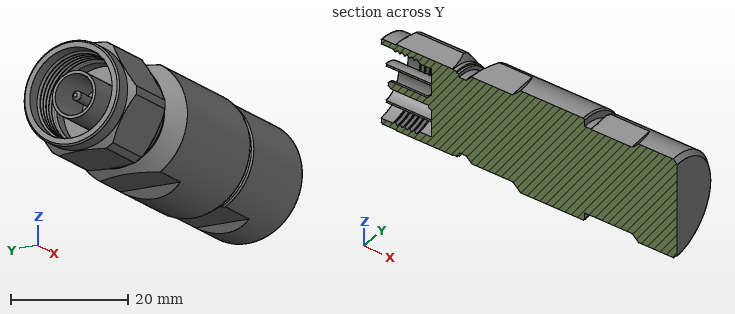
import cadquery as cq
import math


COLLAR_RADIUS = 9.35
COLLAR_END = 3.1
HEX_HALF_WIDTH = 9.5
HEX_CORNER_RADIUS = 10.55
HEX_CHAMFER = 1.0
HEX_END = 14.95
RING_END = 15.8
LIP_RADIUS = 9.05
LIP_END = 16.25

NECK_RADIUS = 8.3
NECK_END = 17.7
BODY_RADIUS = 11.2
CONE_END = 20.45
BODY_END = 42.4
GROOVE_RADIUS = 9.55
GROOVE_END = 43.7
EDGE_CHAMFER = 0.3
CLAMP_RADIUS = 10.85
CLAMP_CHAMFER = 0.85
LENGTH = 61.6

BODY_FLAT_HEIGHT = 9.55
BODY_FLAT_END = 27.35
CLAMP_FLAT_HEIGHT = 9.5
CLAMP_FLAT_END = 52.2

MOUTH_RADIUS = 8.1
MOUTH_DEPTH = 2.45
THREAD_CREST_RADIUS = 7.7
THREAD_ROOT_RADIUS = 8.2
THREAD_PITCH = 1.0
THREAD_CREST_WIDTH = 0.2
THREAD_COUNT = 5
BORE_RADIUS = 7.4
SOCKET_DEPTH = 10.5
SLEEVE_OUTER_RADIUS = 4.25
SLEEVE_INNER_RADIUS = 3.7
SLEEVE_START = 1.05
PIN_RADIUS = 0.85
PIN_TIP_RADIUS = 0.4
PIN_START = 1.5
PIN_TIP_LENGTH = 0.55
PIN_BASE_RADIUS = 1.65
PIN_BASE_TIP_RADIUS = 1.3
PIN_BASE_LENGTH = 0.6


def revolve_profile(points):
    """Revolve a closed (x, radius) outline about the X axis."""
    outline = cq.Workplane("XY").polyline(points).close()
    return outline.revolve(360, (0, 0, 0), (1, 0, 0))


def cylinder(start, end, radius):
    return cq.Workplane("YZ", origin=(start, 0, 0)).circle(radius).extrude(end - start)


def make_hex():
    """Hexagon with flats facing +Z and -Z and its corners turned down."""
    corner_distance = HEX_HALF_WIDTH / math.cos(math.pi / 6)
    prism = (
        cq.Workplane("YZ", origin=(COLLAR_END, 0, 0))
        .polygon(6, 2 * corner_distance)
        .extrude(HEX_END - COLLAR_END)
    )
    envelope = revolve_profile([
        (COLLAR_END, 0),
        (COLLAR_END, COLLAR_RADIUS),
        (COLLAR_END + HEX_CHAMFER, HEX_CORNER_RADIUS),
        (HEX_END - HEX_CHAMFER, HEX_CORNER_RADIUS),
        (HEX_END, COLLAR_RADIUS),
        (HEX_END, 0),
    ])
    return prism.intersect(envelope)


def make_turned_shape():
    return revolve_profile([
        (0, 0),
        (0, COLLAR_RADIUS - EDGE_CHAMFER),
        (EDGE_CHAMFER, COLLAR_RADIUS),
        (RING_END, COLLAR_RADIUS),
        (RING_END, LIP_RADIUS),
        (LIP_END, LIP_RADIUS),
        (LIP_END, NECK_RADIUS),
        (NECK_END, NECK_RADIUS),
        (CONE_END, BODY_RADIUS),
        (BODY_END - EDGE_CHAMFER, BODY_RADIUS),
        (BODY_END, BODY_RADIUS - EDGE_CHAMFER),
        (BODY_END, GROOVE_RADIUS),
        (GROOVE_END, GROOVE_RADIUS),
        (GROOVE_END, CLAMP_RADIUS - EDGE_CHAMFER),
        (GROOVE_END + EDGE_CHAMFER, CLAMP_RADIUS),
        (LENGTH - CLAMP_CHAMFER, CLAMP_RADIUS),
        (LENGTH, CLAMP_RADIUS - CLAMP_CHAMFER),
        (LENGTH, 0),
    ])


def make_flat_cutters(start, end, height):
    """Cutters for a pair of opposite flats, above and below the axis."""
    rise = BODY_RADIUS
    top = height + rise
    upper = (
        cq.Workplane("XZ")
        .polyline([(start, height), (end, height), (end + rise, top), (start, top)])
        .close()
        .extrude(BODY_RADIUS, both=True)
    )
    return upper.union(upper.mirror("XY"))


def make_socket():
    """Socket void with ring grooves standing in for its internal thread."""
    points = [(0, 0), (0, MOUTH_RADIUS), (MOUTH_DEPTH, MOUTH_RADIUS)]
    thread_start = MOUTH_DEPTH + MOUTH_RADIUS - THREAD_CREST_RADIUS
    groove_width = THREAD_PITCH - THREAD_CREST_WIDTH
    for turn in range(THREAD_COUNT):
        crest_start = thread_start + turn * THREAD_PITCH
        crest_end = crest_start + THREAD_CREST_WIDTH
        points += [
            (crest_start, THREAD_CREST_RADIUS),
            (crest_end, THREAD_CREST_RADIUS),
            (crest_end + groove_width / 2, THREAD_ROOT_RADIUS),
        ]
    thread_end = thread_start + THREAD_COUNT * THREAD_PITCH
    points += [
        (thread_end, THREAD_CREST_RADIUS),
        (thread_end + THREAD_CREST_RADIUS - BORE_RADIUS, BORE_RADIUS),
        (SOCKET_DEPTH, BORE_RADIUS),
        (SOCKET_DEPTH, 0),
    ]
    return revolve_profile(points)


def make_contacts():
    """Outer contact sleeve and tapered centre pin on the socket floor."""
    sleeve = cylinder(SLEEVE_START, SOCKET_DEPTH, SLEEVE_OUTER_RADIUS)
    sleeve = sleeve.cut(cylinder(SLEEVE_START, SOCKET_DEPTH, SLEEVE_INNER_RADIUS))
    base_start = SOCKET_DEPTH - PIN_BASE_LENGTH
    pin = revolve_profile([
        (PIN_START, 0),
        (PIN_START, PIN_TIP_RADIUS),
        (PIN_START + PIN_TIP_LENGTH, PIN_RADIUS),
        (base_start, PIN_RADIUS),
        (base_start, PIN_BASE_TIP_RADIUS),
        (SOCKET_DEPTH, PIN_BASE_RADIUS),
        (SOCKET_DEPTH, 0),
    ])
    return sleeve.union(pin)


body_flats = make_flat_cutters(LIP_END, BODY_FLAT_END, BODY_FLAT_HEIGHT)
clamp_flats = make_flat_cutters(GROOVE_END, CLAMP_FLAT_END, CLAMP_FLAT_HEIGHT)

result = make_turned_shape().cut(body_flats).cut(clamp_flats)
result = result.union(make_hex())
result = result.cut(make_socket())
result = result.union(make_contacts())